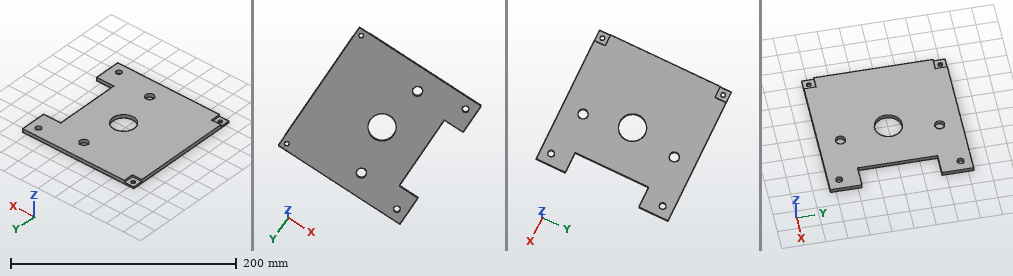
import cadquery as cq

side = 130.0
thickness = 4.0

cutout_depth = 20.0
cutout_width = 72.4

corner_size = 10.9
corner_thickness = thickness / 2
corner_hole_diameter = 4.0

main_hole_diameter = 25.0
main_hole_x = 2.5
side_hole_diameter = 9.0
side_hole_x = 10.4
side_hole_y = 45.0
tab_hole_diameter = 6.0
tab_hole_x = side / 2 - cutout_depth / 2
tab_hole_y = 55.0

corner_x = -side / 2 + corner_size / 2
corner_y = side / 2 - corner_size / 2


def mirrored_pair(x, y):
    """Two points placed symmetrically about the X axis."""
    return [(x, y), (x, -y)]


def drill(body, points, diameter):
    """Cut round through holes at the given points."""
    cutters = cq.Workplane("XY").pushPoints(points).circle(diameter / 2).extrude(thickness)
    return body.cut(cutters)


plate = cq.Workplane("XY").box(side, side, thickness, centered=(True, True, False))

edge_cutout = (
    cq.Workplane("XY")
    .center(side / 2 - cutout_depth / 2, 0)
    .rect(cutout_depth, cutout_width)
    .extrude(thickness)
)
plate = plate.cut(edge_cutout)

corner_recesses = (
    cq.Workplane("XY", origin=(0, 0, corner_thickness))
    .pushPoints(mirrored_pair(corner_x, corner_y))
    .rect(corner_size, corner_size)
    .extrude(thickness - corner_thickness)
)
plate = plate.cut(corner_recesses)

plate = drill(plate, [(main_hole_x, 0)], main_hole_diameter)
plate = drill(plate, mirrored_pair(side_hole_x, side_hole_y), side_hole_diameter)
plate = drill(plate, mirrored_pair(tab_hole_x, tab_hole_y), tab_hole_diameter)
plate = drill(plate, mirrored_pair(corner_x, corner_y), corner_hole_diameter)

result = plate